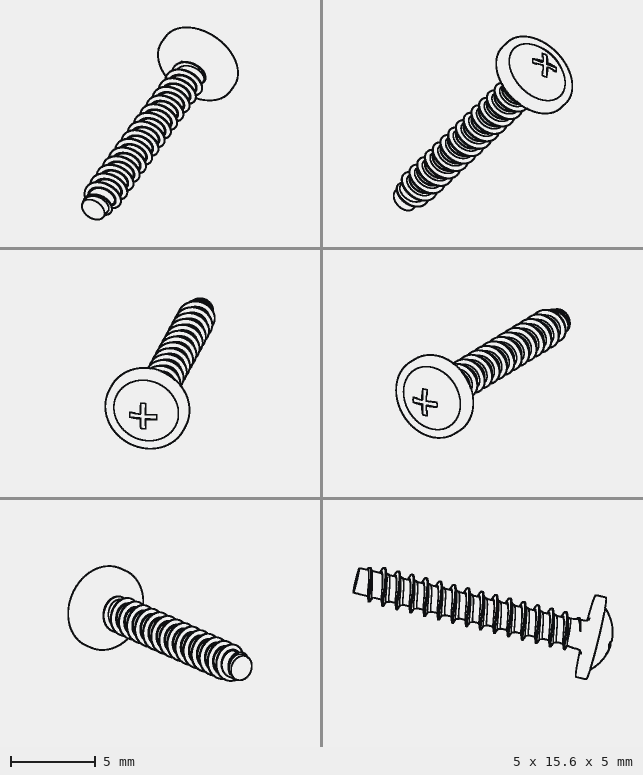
import cadquery as cq
import math

total_length = 15.57

flange_diameter = 5.0
flange_radius = flange_diameter / 2
flange_thickness = 0.64
flange_edge_radius = 0.05
dome_base_radius = 1.96
dome_height = 0.93
head_height = flange_thickness + dome_height
dome_sphere_radius = (dome_base_radius**2 + dome_height**2) / (2 * dome_height)

recess_width = 0.31
recess_depth = 0.14

recess_corner_radius = recess_width / math.sqrt(2)
crown_sag = dome_sphere_radius - math.sqrt(dome_sphere_radius**2 - recess_corner_radius**2)
crown_y = head_height - crown_sag

neck_radius = 0.87
neck_fillet_radius = 0.31
neck_length = 0.55
neck_taper_end = 1.4
core_radius = 0.76
tip_length = total_length - crown_y
tip_rim_radius = 0.75
tip_cone_height = 0.03
tip_taper_length = 0.42
tip_rim_y = -(tip_length - tip_cone_height)

thread_diameter = 2.23
crest_radius = thread_diameter / 2
crest_half_width = 0.03
shoulder_radius = 0.84
shoulder_half_width = 0.132
foot_reach = 0.31
foot_height = 0.03
foot_radius = core_radius + foot_height
root_depth = 0.08
root_radius = core_radius - root_depth

thread_start_y = -0.31
full_thread_start_y = -1.45
full_thread_end_y = -12.8
thread_end_y = -13.83
start_sink = 0.3
end_sink = 0.36
first_plus_x_crossing_y = -0.59
last_plus_x_crossing_y = -13.35
turns_between_crossings = 15
pitch = (first_plus_x_crossing_y - last_plus_x_crossing_y) / turns_between_crossings
points_per_turn = 16
full_thread_pieces = 6


def revolved_body():
    """Head and threadless shank, revolved about Y from the half outline (radius, y)."""
    dome_mid_radius = dome_base_radius / 2
    dome_center_y = head_height - dome_sphere_radius
    dome_mid_y = dome_center_y + math.sqrt(dome_sphere_radius**2 - dome_mid_radius**2)
    fillet_mid_offset = neck_fillet_radius * (1 - math.sqrt(0.5))
    outline = (
        cq.Workplane("XY")
        .moveTo(0, head_height)
        .threePointArc((dome_mid_radius, dome_mid_y), (dome_base_radius, flange_thickness))
        .lineTo(flange_radius - flange_edge_radius, flange_thickness)
        .radiusArc((flange_radius, flange_thickness - flange_edge_radius), flange_edge_radius)
        .lineTo(flange_radius, flange_edge_radius)
        .radiusArc((flange_radius - flange_edge_radius, 0), flange_edge_radius)
        .lineTo(neck_radius + neck_fillet_radius, 0)
        .threePointArc(
            (neck_radius + fillet_mid_offset, -fillet_mid_offset),
            (neck_radius, -neck_fillet_radius),
        )
        .lineTo(neck_radius, -neck_length)
        .lineTo(core_radius, -neck_taper_end)
        .lineTo(core_radius, tip_rim_y + tip_taper_length)
        .lineTo(tip_rim_radius, tip_rim_y)
        .lineTo(0, -tip_length)
        .close()
    )
    return outline.revolve(360, (0, 0, 0), (0, 1, 0))


def thread_sink(y):
    """Distance by which the thread profile sinks towards the axis at its two ends."""
    if y > full_thread_start_y:
        progress = (thread_start_y - y) / (thread_start_y - full_thread_start_y)
        return start_sink * (1 - math.sin(progress * math.pi / 2))
    if y < full_thread_end_y:
        return end_sink * (full_thread_end_y - y) / (full_thread_end_y - thread_end_y)
    return 0.0


def thread_edge(radius, axial_offset, start_y, end_y):
    """Helical edge followed by one corner of the thread profile between two positions."""
    travel = start_y - end_y
    steps = math.ceil(points_per_turn * travel / pitch)
    points = []
    for step in range(steps + 1):
        y = start_y - travel * step / steps
        angle = 2 * math.pi * (first_plus_x_crossing_y - y) / pitch
        local_radius = radius - thread_sink(y)
        points.append(
            cq.Vector(local_radius * math.cos(angle), y + axial_offset, local_radius * math.sin(angle))
        )
    return cq.Edge.makeSpline(points)


def thread_segment(start_y, end_y):
    """Solid piece of the ridge bounded by ruled faces between neighbouring helical edges."""
    corners = [
        (root_radius, foot_reach),
        (foot_radius, foot_reach),
        (shoulder_radius, shoulder_half_width),
        (crest_radius, crest_half_width),
        (crest_radius, -crest_half_width),
        (shoulder_radius, -shoulder_half_width),
        (root_radius, -shoulder_half_width),
    ]
    edges = [thread_edge(radius, offset, start_y, end_y) for radius, offset in corners]
    faces = [
        cq.Face.makeRuledSurface(edge, edges[(index + 1) % len(edges)])
        for index, edge in enumerate(edges)
    ]
    for end_point in (cq.Edge.startPoint, cq.Edge.endPoint):
        outline = cq.Wire.makePolygon([end_point(edge) for edge in edges], close=True)
        faces.append(cq.Face.makeFromWires(outline))
    return cq.Solid.makeSolid(cq.Shell.makeShell(faces))


def thread_segments():
    """Run-in, full-height pieces and run-out of the thread, joined end to end."""
    piece_length = (full_thread_start_y - full_thread_end_y) / full_thread_pieces
    joints = [full_thread_start_y - piece_length * index for index in range(full_thread_pieces + 1)]
    ends = [thread_start_y] + joints + [thread_end_y]
    return [thread_segment(start_y, end_y) for start_y, end_y in zip(ends, ends[1:])]


def cross_recess():
    """Two crossing slots through the crown of the dome, open at their ends."""
    slot = cq.Workplane("XY").box(
        2 * dome_base_radius, recess_depth, recess_width, centered=(True, False, True)
    )
    cross = slot.union(slot.rotate((0, 0, 0), (0, 1, 0), 90))
    return cross.translate((0, head_height - recess_depth, 0))


threaded_body = revolved_body().val().fuse(*thread_segments())
result = cq.Workplane(obj=threaded_body).cut(cross_recess())